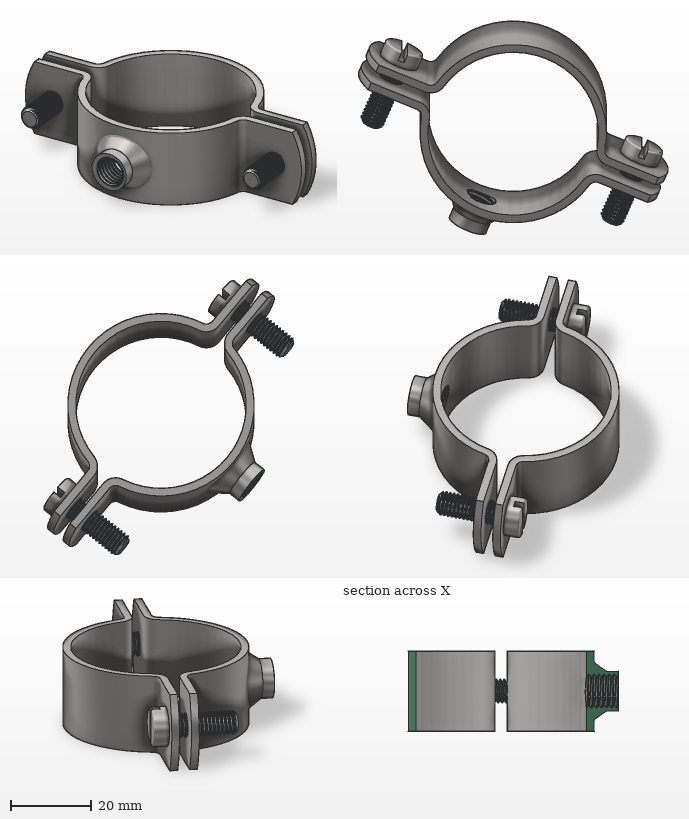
import cadquery as cq
import math


band_width = 20.0
band_thickness = 2.0
pipe_radius = 21.25
band_outer_radius = pipe_radius + band_thickness
flange_gap = 3.0
flange_inner_y = flange_gap / 2
flange_outer_y = flange_inner_y + band_thickness
flange_tip_x = 40.5
flange_end_radius = 20.0
inside_bend_radius = 2.0
outside_bend_radius = inside_bend_radius + band_thickness

boss_radius = 5.0
boss_height = 6.0
boss_neck_height = 3.0
boss_cone_angle = 35.5
weld_fillet_radius = 0.5
boss_tip_y = -(band_outer_radius + boss_height)
boss_step_y = boss_tip_y + boss_neck_height
boss_root_y = -(pipe_radius - band_thickness)
bore_radius = 3.55
bore_thread_radius = 4.2
bore_thread_pitch = 1.25
bore_thread_start_angle = 45.0

screw_x = 32.5
screw_radius = 3.0
screw_core_radius = 2.45
screw_pitch = 1.0
screw_length = 18.0
screw_tip_radius = 2.1
screw_tip_chamfer = screw_radius - screw_tip_radius
envelope_margin = 1.0
head_radius = 5.0
head_height = 3.9
head_fillet_radius = 0.5
slot_width = 1.6
slot_depth = 2.3

crest_fraction = 0.125
root_fraction = 0.2
flank_points = 8


def threaded_rod(core_radius, crest_radius, pitch, turns):
    """Rod along +Z with a right-hand thread, built as a stack of cross-sections each twisted one turn.

    In the cross-section the crest and root are arcs, and each flank is a spiral from crest to root.
    """
    crest_half_angle = math.pi * crest_fraction
    flank_angle = math.pi * (1 - root_fraction) - crest_half_angle

    def flank_point(step):
        share = step / flank_points
        radius = crest_radius + share * (core_radius - crest_radius)
        angle = crest_half_angle + share * flank_angle
        return (radius * math.cos(angle), radius * math.sin(angle))

    left_flank = [flank_point(step) for step in range(flank_points + 1)]
    right_flank = [(x, -y) for x, y in reversed(left_flank)]
    one_turn = (
        cq.Workplane("XY")
        .moveTo(*right_flank[-1])
        .threePointArc((crest_radius, 0), left_flank[0])
        .spline(left_flank[1:], includeCurrent=True)
        .threePointArc((-core_radius, 0), right_flank[0])
        .spline(right_flank[1:], includeCurrent=True)
        .close()
        .twistExtrude(pitch, 360)
        .val()
    )
    stacked_turns = [one_turn.translate(cq.Vector(0, 0, turn * pitch)) for turn in range(1, turns)]
    return cq.Workplane(one_turn.fuse(*stacked_turns))


def align_with_y(body):
    """Turn a body built along +Z so that it points along +Y."""
    return body.rotate((0, 0, 0), (1, 0, 0), -90)


def half_band():
    """Rear half (+Y): a half ring with a flange bent outward at each end."""
    bend_y = flange_outer_y + inside_bend_radius
    bend_distance = band_outer_radius + inside_bend_radius
    bend_x = math.sqrt(bend_distance**2 - bend_y**2)
    ring_angle = math.atan2(bend_y, bend_x)
    mid_bend_angle = (ring_angle + math.pi / 2) / 2

    def ring_end(radius, side):
        return (side * radius * math.cos(ring_angle), radius * math.sin(ring_angle))

    def mid_bend(radius, side):
        return (side * (bend_x - radius * math.cos(mid_bend_angle)), bend_y - radius * math.sin(mid_bend_angle))

    band = (
        cq.Workplane("XY")
        .moveTo(-flange_tip_x, flange_outer_y)
        .lineTo(-bend_x, flange_outer_y)
        .threePointArc(mid_bend(inside_bend_radius, -1), ring_end(band_outer_radius, -1))
        .threePointArc((0, band_outer_radius), ring_end(band_outer_radius, 1))
        .threePointArc(mid_bend(inside_bend_radius, 1), (bend_x, flange_outer_y))
        .lineTo(flange_tip_x, flange_outer_y)
        .lineTo(flange_tip_x, flange_inner_y)
        .lineTo(bend_x, flange_inner_y)
        .threePointArc(mid_bend(outside_bend_radius, 1), ring_end(pipe_radius, 1))
        .threePointArc((0, pipe_radius), ring_end(pipe_radius, -1))
        .threePointArc(mid_bend(outside_bend_radius, -1), (-bend_x, flange_inner_y))
        .lineTo(-flange_tip_x, flange_inner_y)
        .close()
        .extrude(band_width / 2, both=True)
    )
    return drill_flanges(band.intersect(rounded_end_envelope()))


def rounded_end_envelope():
    """Block along Y whose two X ends are arcs, for rounding the flange tips."""
    half_width = band_width / 2
    end_sagitta = flange_end_radius - math.sqrt(flange_end_radius**2 - half_width**2)
    corner_x = flange_tip_x - end_sagitta
    return (
        cq.Workplane("XZ")
        .moveTo(-corner_x, half_width)
        .lineTo(corner_x, half_width)
        .threePointArc((flange_tip_x, 0), (corner_x, -half_width))
        .lineTo(-corner_x, -half_width)
        .threePointArc((-flange_tip_x, 0), (-corner_x, half_width))
        .close()
        .extrude(band_outer_radius, both=True)
    )


def drill_flanges(band):
    holes = (
        cq.Workplane("XZ")
        .pushPoints([(-screw_x, 0), (screw_x, 0)])
        .circle(screw_radius)
        .extrude(band_outer_radius, both=True)
    )
    return band.cut(holes)


def boss_blank():
    """Cylindrical neck and flared foot, reaching into the band but not into the pipe space."""
    foot_radius = boss_radius + (boss_root_y - boss_step_y) * math.tan(math.radians(boss_cone_angle))
    blank = (
        cq.Workplane("XY")
        .polyline([
            (0, boss_tip_y),
            (boss_radius, boss_tip_y),
            (boss_radius, boss_step_y),
            (foot_radius, boss_root_y),
            (0, boss_root_y),
        ])
        .close()
        .revolve(360, (0, 0, 0), (0, 1, 0))
    )
    mid_wall_radius = band_outer_radius - band_thickness / 2
    pipe_space = cq.Workplane("XY").circle(mid_wall_radius).extrude(band_width, both=True)
    return blank.cut(pipe_space)


def boss_bore():
    """Threaded bore from the boss tip through the band wall."""
    bore_turns = math.ceil((boss_root_y - boss_tip_y) / bore_thread_pitch)
    bore = threaded_rod(bore_radius, bore_thread_radius, bore_thread_pitch, bore_turns)
    bore = bore.rotate((0, 0, 0), (0, 0, 1), -bore_thread_start_angle)
    return align_with_y(bore).translate((0, boss_tip_y, 0))


def boss_band():
    """Front half band with the flared boss welded on and bored through."""
    band = half_band().mirror("XZ").union(boss_blank())
    foot_zone = cq.selectors.BoxSelector(
        (-2 * boss_radius, boss_step_y + band_thickness, -band_width / 2 + weld_fillet_radius),
        (2 * boss_radius, boss_root_y, band_width / 2 - weld_fillet_radius),
        boundingbox=True,
    )
    band = band.edges(foot_zone).fillet(weld_fillet_radius)
    return band.cut(boss_bore())


def screw():
    """Slotted cheese-head screw along Z, its head seated on z = 0 and its shank pointing down."""
    screw_turns = math.ceil(screw_length / screw_pitch)
    thread = threaded_rod(screw_core_radius, screw_radius, screw_pitch, screw_turns)
    tip_envelope = (
        cq.Workplane("XY")
        .circle(screw_radius + envelope_margin)
        .extrude(-screw_length)
        .faces("<Z")
        .chamfer(screw_tip_chamfer + envelope_margin)
    )
    shank = thread.translate((0, 0, -screw_length)).intersect(tip_envelope)

    head = cq.Workplane("XY").circle(head_radius).extrude(head_height).faces(">Z").edges().fillet(head_fillet_radius)
    slot = (
        cq.Workplane("XY")
        .workplane(offset=head_height)
        .rect(slot_width, 2 * head_radius)
        .extrude(-slot_depth)
    )
    return head.cut(slot).union(shank, clean=False)


rear_band = half_band()
front_band = boss_band()

seated_screw = align_with_y(screw()).translate((0, flange_outer_y, 0))
screws = [seated_screw.translate((side * screw_x, 0, 0)).val() for side in (-1, 1)]

result = cq.Compound.makeCompound([rear_band.val(), front_band.val(), *screws])